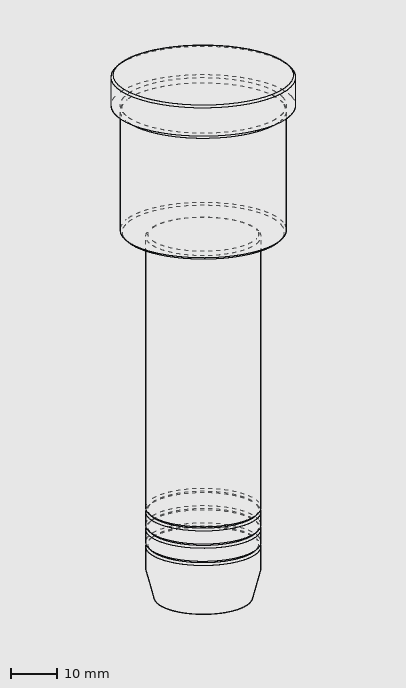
import cadquery as cq
import math

total_length = 120.0
head_diameter = 40.0
head_thickness = 7.0
collar_diameter = 36.0
collar_bottom = 84.0
shank_diameter = 25.0

head_relief_width = 1.2
shank_relief_width = 1.0
head_relief_depth = 0.4
shank_relief_depth = 0.5

head_chamfer = 0.5
collar_chamfer = 0.5

taper_length = 7.0
taper_angle = 15.0
tip_fillet = 0.6

groove_count = 3
groove_pitch = 4.0
groove_width = 1.0
groove_depth = groove_width / 2
lowest_groove_center = 12.5


def cylinder(diameter, bottom, top):
    return cq.Workplane("XY").workplane(offset=bottom).circle(diameter / 2).extrude(top - bottom)


def revolve_profile(profile):
    """Close a section drawn in the XZ plane and revolve it about the Z axis."""
    return profile.close().revolve(360, (0, 0, 0), (0, 1, 0))


def ring_groove(diameter, depth, center, width):
    """V-shaped ring that cuts a groove around a cylinder."""
    radius = diameter / 2
    points = [(radius, center - width / 2), (radius - depth, center), (radius, center + width / 2)]
    return revolve_profile(cq.Workplane("XZ").polyline(points))


def shoulder_relief(diameter, depth, shoulder, width):
    """Arc-shaped relief whose upper edge meets the shoulder above it."""
    radius = diameter / 2
    profile = (
        cq.Workplane("XZ")
        .moveTo(radius, shoulder - width)
        .threePointArc((radius - depth, shoulder - width / 2), (radius, shoulder))
    )
    return revolve_profile(profile)


head_bottom = total_length - head_thickness
head = cylinder(head_diameter, head_bottom, total_length).faces(">Z").edges().chamfer(head_chamfer)
collar = cylinder(collar_diameter, collar_bottom, head_bottom).faces("<Z").edges().chamfer(collar_chamfer)
collar = collar.cut(shoulder_relief(collar_diameter, head_relief_depth, head_bottom, head_relief_width))

shank = cylinder(shank_diameter, taper_length, collar_bottom)
shank = shank.cut(shoulder_relief(shank_diameter, shank_relief_depth, collar_bottom, shank_relief_width))
for index in range(groove_count):
    groove_center = lowest_groove_center + index * groove_pitch
    shank = shank.cut(ring_groove(shank_diameter, groove_depth, groove_center, groove_width))

tip_radius = shank_diameter / 2 - taper_length * math.tan(math.radians(taper_angle))
tip = (
    cq.Workplane("XY")
    .circle(tip_radius)
    .workplane(offset=taper_length)
    .circle(shank_diameter / 2)
    .loft(ruled=True)
    .faces("<Z")
    .edges()
    .fillet(tip_fillet)
)

result = head.union(collar).union(shank).union(tip)